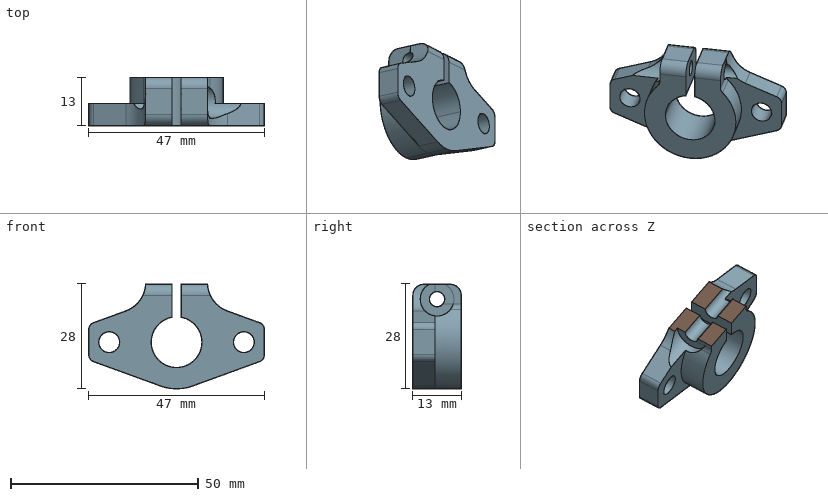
import cadquery as cq
import math


total_depth = 13.0
flange_depth = 6.0

hub_radius = 12.5
bore_diameter = 13.5

flange_length = 47.0
flank_angle = math.radians(20.0)
corner_radius = 2.0
mount_hole_diameter = 5.5
mount_hole_spacing = 36.0

clamp_top = 15.5
clamp_half_width = 8.3
clamp_edge_radius = 3.0
slot_width = 2.4
flange_blend_radius = 8.0
hub_blend_radius = 2.0

screw_hole_diameter = 4.0
screw_head_diameter = 9.0
screw_height = 11.5
screw_depth = total_depth / 2

half_length = flange_length / 2
flank_sin = math.sin(flank_angle)
flank_cos = math.cos(flank_angle)


def extrude_back(sketch, depth):
    """Extrude a front-plane sketch from the mounting face towards +Y."""
    return sketch.extrude(-depth)


def front_plane():
    return cq.Workplane("XZ")


def make_flange():
    """Diamond plate whose flanks are tangent to the hub and sweep up into the clamp."""
    tip_height = (hub_radius - half_length * flank_sin) / flank_cos
    tangent_x = hub_radius * flank_sin
    tangent_z = hub_radius * flank_cos
    diamond = extrude_back(
        front_plane()
        .moveTo(-half_length, tip_height)
        .lineTo(-tangent_x, tangent_z)
        .threePointArc((0, hub_radius), (tangent_x, tangent_z))
        .lineTo(half_length, tip_height)
        .lineTo(half_length, -tip_height)
        .lineTo(tangent_x, -tangent_z)
        .threePointArc((0, -hub_radius), (-tangent_x, -tangent_z))
        .lineTo(-half_length, -tip_height)
        .close(),
        flange_depth,
    )
    diamond = diamond.edges("|Y and (<X or >X)").fillet(corner_radius)

    blend_x = clamp_half_width + flange_blend_radius
    blend_z = (hub_radius + flange_blend_radius - blend_x * flank_sin) / flank_cos
    blend_end_x = blend_x - flange_blend_radius * flank_sin
    blend_end_z = blend_z - flange_blend_radius * flank_cos
    top_rise = blend_z - clamp_top
    blend_top_x = blend_x - math.sqrt(flange_blend_radius**2 - top_rise**2)
    middle_angle = (math.pi / 2 - flank_angle) / 2
    blend_middle_x = blend_x - flange_blend_radius * math.cos(middle_angle)
    blend_middle_z = blend_z - flange_blend_radius * math.sin(middle_angle)
    neck = extrude_back(
        front_plane()
        .moveTo(-blend_end_x, 0)
        .lineTo(-blend_end_x, blend_end_z)
        .threePointArc((-blend_middle_x, blend_middle_z), (-blend_top_x, clamp_top))
        .lineTo(blend_top_x, clamp_top)
        .threePointArc((blend_middle_x, blend_middle_z), (blend_end_x, blend_end_z))
        .lineTo(blend_end_x, 0)
        .close(),
        flange_depth,
    )
    return diamond.union(neck)


def make_hub():
    """Full-depth round hub joined to the straight-sided clamp by small blends."""
    hub = extrude_back(front_plane().circle(hub_radius), total_depth)
    clamp = extrude_back(
        front_plane().center(0, clamp_top / 2).rect(2 * clamp_half_width, clamp_top),
        total_depth,
    )
    blend_x = clamp_half_width + hub_blend_radius
    blend_z = math.sqrt((hub_radius + hub_blend_radius) ** 2 - blend_x**2)
    touch_ratio = hub_radius / (hub_radius + hub_blend_radius)
    touch_x = blend_x * touch_ratio
    touch_z = blend_z * touch_ratio
    middle_angle = math.atan2(blend_z, blend_x) / 2
    middle_x = blend_x - hub_blend_radius * math.cos(middle_angle)
    middle_z = blend_z - hub_blend_radius * math.sin(middle_angle)
    blends = extrude_back(
        front_plane()
        .moveTo(-touch_x, 0)
        .lineTo(-touch_x, touch_z)
        .threePointArc((-middle_x, middle_z), (-clamp_half_width, blend_z))
        .lineTo(clamp_half_width, blend_z)
        .threePointArc((middle_x, middle_z), (touch_x, touch_z))
        .lineTo(touch_x, 0)
        .close(),
        total_depth,
    )
    return hub.union(clamp).union(blends)


def round_clamp_edges(body):
    """Round the front and rear top edges of the clamp."""
    height = clamp_top + hub_radius
    envelope = (
        cq.Workplane("XY")
        .box(flange_length, total_depth, height, centered=(True, False, False))
        .translate((0, 0, -hub_radius))
        .edges("|X and >Z")
        .fillet(clamp_edge_radius)
    )
    return body.intersect(envelope)


def cut_bore_and_slot(body):
    bore = extrude_back(front_plane().circle(bore_diameter / 2), total_depth)
    slot = extrude_back(
        front_plane().center(0, clamp_top / 2).rect(slot_width, clamp_top),
        total_depth,
    )
    return body.cut(bore).cut(slot)


def cut_mount_holes(body):
    for side in (-1, 1):
        hole = extrude_back(
            front_plane().center(side * mount_hole_spacing / 2, 0).circle(mount_hole_diameter / 2),
            flange_depth,
        )
        body = body.cut(hole)
    return body


def cut_clamp_screw(body):
    """Cross hole through the clamp, with clearance for the screw head on the +X side."""
    axis_plane = cq.Workplane("YZ").center(screw_depth, screw_height)
    hole = axis_plane.circle(screw_hole_diameter / 2).extrude(half_length, both=True)
    head_clearance = (
        axis_plane.workplane(offset=clamp_half_width)
        .circle(screw_head_diameter / 2)
        .extrude(half_length - clamp_half_width)
    )
    return body.cut(hole).cut(head_clearance)


body = make_flange().union(make_hub())
body = round_clamp_edges(body)
body = cut_bore_and_slot(body)
body = cut_mount_holes(body)
result = cut_clamp_screw(body)